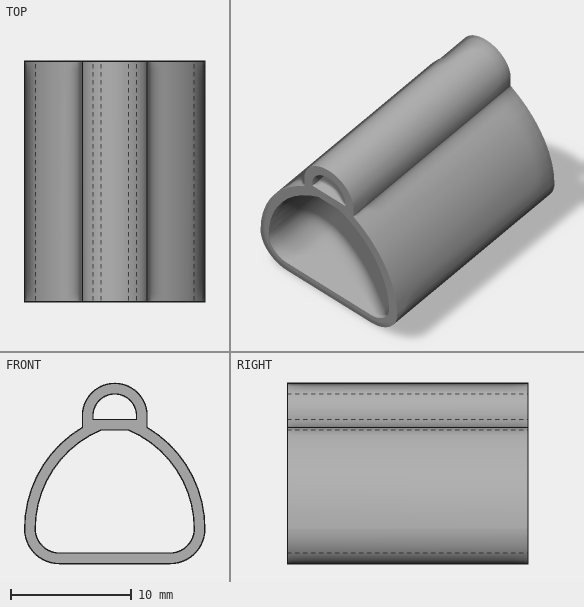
import cadquery as cq
import math

width = 15.0
height = 15.0
length = 20.0
wall = 0.9

corner_radius = 2.9
side_radius = 9.8
ceiling_z = 11.1

loop_radius = 2.7
loop_floor_z = ceiling_z + wall
loop_center_z = height - loop_radius

section_plane = cq.Plane(origin=(0, -length / 2, 0), xDir=(1, 0, 0), normal=(0, -1, 0))


def point_on_side(radius, z):
    """Half-width of the side arc of the given radius at height z."""
    center_x = width / 2 - side_radius
    return center_x + math.sqrt(radius ** 2 - (z - corner_radius) ** 2)


def tube_body(inset, top_z):
    """Main tube section moved inward by inset and cut flat at top_z."""
    half_width = width / 2 - inset
    corner = corner_radius - inset
    corner_center_x = width / 2 - corner_radius
    side = side_radius - inset
    top_half_width = point_on_side(side, top_z)
    middle_z = (corner_radius + top_z) / 2
    middle_half_width = point_on_side(side, middle_z)
    diagonal = corner * math.sqrt(0.5)
    corner_middle_x = corner_center_x + diagonal
    corner_middle_z = corner_radius - diagonal
    return (
        cq.Workplane(section_plane)
        .moveTo(-corner_center_x, inset)
        .lineTo(corner_center_x, inset)
        .threePointArc((corner_middle_x, corner_middle_z), (half_width, corner_radius))
        .threePointArc((middle_half_width, middle_z), (top_half_width, top_z))
        .lineTo(-top_half_width, top_z)
        .threePointArc((-middle_half_width, middle_z), (-half_width, corner_radius))
        .threePointArc((-corner_middle_x, corner_middle_z), (-corner_center_x, inset))
        .close()
        .extrude(-length)
    )


def loop_body(radius, bottom_z):
    """Round-topped section with straight sides down to bottom_z."""
    return (
        cq.Workplane(section_plane)
        .moveTo(-radius, bottom_z)
        .lineTo(radius, bottom_z)
        .lineTo(radius, loop_center_z)
        .threePointArc((0, loop_center_z + radius), (-radius, loop_center_z))
        .close()
        .extrude(-length)
    )


shoulder_z = corner_radius + math.sqrt(
    side_radius ** 2 - (loop_radius - width / 2 + side_radius) ** 2
)

outside = tube_body(0, shoulder_z).union(loop_body(loop_radius, ceiling_z))
tube_opening = tube_body(wall, ceiling_z)
loop_opening = loop_body(loop_radius - wall, loop_floor_z)

result = outside.cut(tube_opening).cut(loop_opening)